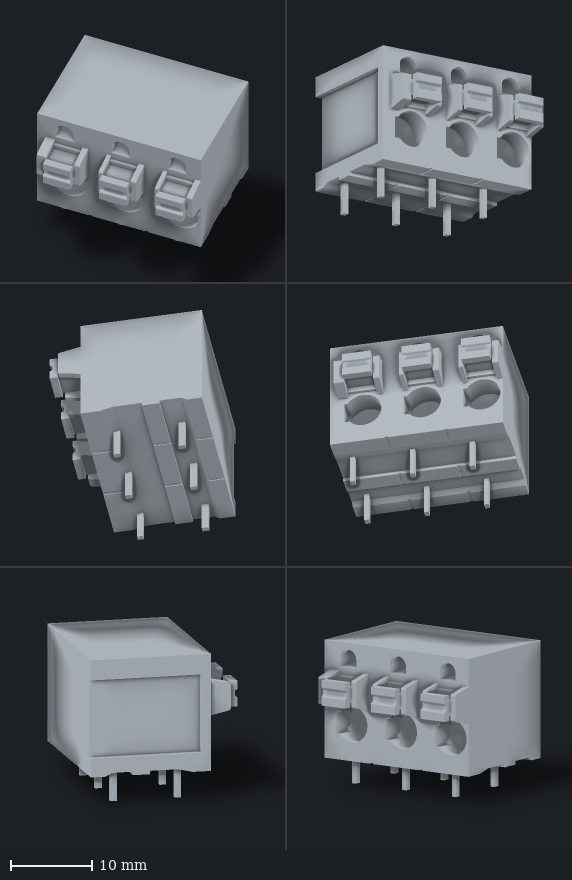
import cadquery as cq
import math


HOUSING_LENGTH = 21.8
HOUSING_DEPTH = 15.24
HOUSING_HEIGHT = 14.75

POLE_COUNT = 3
POLE_PITCH = 7.5
POLE_CENTER_X = 4.2
POLE_SHIFTS = [i * POLE_PITCH for i in range(POLE_COUNT)]

SIDE_RECESS_DEPTH = 1.0
SIDE_RECESS_FRONT_Y = 1.2
SIDE_RECESS_BOTTOM_Z = 2.35
SIDE_RECESS_TOP_Z = 12.23

FOOT_HEIGHT = 0.44
FRONT_FOOT_DEPTH = 2.35
FRONT_SLOPE_END_Y = 4.15
MIDDLE_FOOT_FRONT_Y = 7.72
MIDDLE_FOOT_BACK_Y = 9.92
REAR_SLOPE_START_Y = 12.65
REAR_FOOT_FRONT_Y = 13.35
GROOVE_WIDTH = 0.48
GROOVE_HEIGHT = 0.1
GROOVE_CENTER_X = 7.08

WINDOW_CENTER_X = 3.65
WINDOW_BOTTOM_Z = 11.7
WINDOW_HEIGHT = 2.2
WINDOW_RIM_WIDTH = 2.35
WINDOW_RIM_DEPTH = 0.33
WINDOW_RIM_STEP = 0.07
WINDOW_DEPTH = 3.05

BORE_RADIUS = 2.29
BORE_CENTER_Z = 4.67
BORE_DEPTH = 3.05
SLOT_LEFT_X = 1.79
SLOT_TOP_Z = 5.89
SLOT_TOP_RADIUS = 0.72
SLOT_BOTTOM_Z = 3.16
SLOT_SILL_RADIUS = 0.57
SLOT_SILL_CHAMFER = 0.25

GUARD_LENGTH = 2.8
GUARD_CENTER_Z = 8.98
GUARD_ROOT_HEIGHT = 4.55
GUARD_TIP_HEIGHT = 3.38
GUARD_TIP_RADIUS = 0.26
END_GUARD_LEFT_X = 1.1
GUARD_GAP_LEFT_X = 2.35
GUARD_GAP_RIGHT_X = 6.05
LEFT_GUARD_WIDTH = 0.55
RIGHT_GUARD_WIDTH = HOUSING_LENGTH - POLE_SHIFTS[-1] - GUARD_GAP_RIGHT_X

BUTTON_WIDTH = 3.6
BUTTON_CENTER_Z = 9.0
COLLAR_WIDTH = GUARD_GAP_RIGHT_X - GUARD_GAP_LEFT_X
COLLAR_HEIGHT = 3.34
COLLAR_LENGTH = 0.4
COLLAR_SEAT_DEPTH = 1.0
SHAFT_HEIGHT = 1.98
HEAD_BACK_Y = -3.03
HEAD_FRONT_Y = -4.01
HEAD_HEIGHT = 3.18
NOTCH_DEPTH = 0.37
NOTCH_FLOOR_HEIGHT = 0.37
NOTCH_MOUTH_HEIGHT = 1.35
NOTCH_CENTER_Z = 9.07

PIN_WIDTH = 0.6
PIN_LEFT_X = 1.8
PIN_PITCH = 7.55
PIN_LENGTH = 3.53
PIN_SEAT_Z = 1.3
FRONT_PIN_Y = 3.34
FRONT_PIN_THICKNESS = 0.78
REAR_PIN_Y = 11.47
REAR_PIN_THICKNESS = 0.85


def box(x_min, x_max, y_min, y_max, z_min, z_max):
    size = (x_max - x_min, y_max - y_min, z_max - z_min)
    return cq.Workplane("XY").box(*size, centered=False).translate((x_min, y_min, z_min))


def side_profile(x_min):
    """Sketch plane facing +X at x_min; its local axes are Y and Z."""
    return cq.Workplane("YZ", origin=(x_min, 0, 0))


def front_profile(y_front):
    """Sketch plane facing -Y at y_front; its local axes are X and Z."""
    return cq.Workplane("XZ", origin=(0, y_front, 0))


def housing_block():
    """Block whose underside has a front, a middle and a rear foot."""
    outline = [
        (0, 0),
        (FRONT_FOOT_DEPTH, 0),
        (FRONT_SLOPE_END_Y, FOOT_HEIGHT),
        (MIDDLE_FOOT_FRONT_Y, FOOT_HEIGHT),
        (MIDDLE_FOOT_FRONT_Y, 0),
        (MIDDLE_FOOT_BACK_Y, 0),
        (MIDDLE_FOOT_BACK_Y, FOOT_HEIGHT),
        (REAR_SLOPE_START_Y, FOOT_HEIGHT),
        (REAR_FOOT_FRONT_Y, 0),
        (HOUSING_DEPTH, 0),
        (HOUSING_DEPTH, HOUSING_HEIGHT),
        (0, HOUSING_HEIGHT),
    ]
    return side_profile(0).polyline(outline).close().extrude(HOUSING_LENGTH)


def side_recess():
    return box(
        0, SIDE_RECESS_DEPTH,
        SIDE_RECESS_FRONT_Y, HOUSING_DEPTH,
        SIDE_RECESS_BOTTOM_Z, SIDE_RECESS_TOP_Z,
    )


def underside_groove(shift):
    left = GROOVE_CENTER_X + shift - GROOVE_WIDTH / 2
    return box(left, left + GROOVE_WIDTH, 0, HOUSING_DEPTH, 0, GROOVE_HEIGHT)


def arch(center_x, width, height, depth):
    """Pocket from the front face with a flat sill and a half-round top."""
    radius = width / 2
    spring_z = WINDOW_BOTTOM_Z + height - radius
    return (
        front_profile(0)
        .moveTo(center_x - radius, WINDOW_BOTTOM_Z)
        .lineTo(center_x + radius, WINDOW_BOTTOM_Z)
        .lineTo(center_x + radius, spring_z)
        .threePointArc((center_x, spring_z + radius), (center_x - radius, spring_z))
        .close()
        .extrude(-depth)
    )


def window(shift):
    center_x = WINDOW_CENTER_X + shift
    rim = arch(center_x, WINDOW_RIM_WIDTH, WINDOW_HEIGHT, WINDOW_RIM_DEPTH)
    inner_width = WINDOW_RIM_WIDTH - 2 * WINDOW_RIM_STEP
    inner = arch(center_x, inner_width, WINDOW_HEIGHT - WINDOW_RIM_STEP, WINDOW_DEPTH)
    return rim.union(inner)


def wire_entry(shift):
    center_x = POLE_CENTER_X + shift
    bore = front_profile(0).center(center_x, BORE_CENTER_Z).circle(BORE_RADIUS).extrude(-BORE_DEPTH)

    diagonal = math.sqrt(0.5)
    sill_start_y = BORE_DEPTH - SLOT_SILL_CHAMFER - SLOT_SILL_RADIUS
    sill_top_z = SLOT_BOTTOM_Z + SLOT_SILL_RADIUS
    slot = (
        side_profile(SLOT_LEFT_X + shift)
        .moveTo(0, SLOT_BOTTOM_Z)
        .lineTo(sill_start_y, SLOT_BOTTOM_Z)
        .threePointArc(
            (
                sill_start_y + SLOT_SILL_RADIUS * (1 - diagonal),
                SLOT_BOTTOM_Z + SLOT_SILL_RADIUS * diagonal,
            ),
            (sill_start_y + SLOT_SILL_RADIUS, sill_top_z),
        )
        .lineTo(BORE_DEPTH, sill_top_z + SLOT_SILL_CHAMFER)
        .lineTo(BORE_DEPTH, SLOT_TOP_Z - SLOT_TOP_RADIUS)
        .threePointArc(
            (
                BORE_DEPTH - SLOT_TOP_RADIUS * (1 - diagonal),
                SLOT_TOP_Z - SLOT_TOP_RADIUS * (1 - diagonal),
            ),
            (BORE_DEPTH - SLOT_TOP_RADIUS, SLOT_TOP_Z),
        )
        .lineTo(0, SLOT_TOP_Z)
        .close()
        .extrude(POLE_CENTER_X - SLOT_LEFT_X)
    )
    return bore.union(slot)


def guard(x_min, x_max):
    """Upright plate that tapers forward from the front face and has rounded tip edges."""
    outline = [
        (0, GUARD_CENTER_Z - GUARD_ROOT_HEIGHT / 2),
        (0, GUARD_CENTER_Z + GUARD_ROOT_HEIGHT / 2),
        (-GUARD_LENGTH, GUARD_CENTER_Z + GUARD_TIP_HEIGHT / 2),
        (-GUARD_LENGTH, GUARD_CENTER_Z - GUARD_TIP_HEIGHT / 2),
    ]
    plate = side_profile(x_min).polyline(outline).close().extrude(x_max - x_min)
    return plate.faces("<Y").edges("|X").fillet(GUARD_TIP_RADIUS)


def guards():
    """The leftmost guard is wider than the other left ones."""
    plates = []
    for shift in POLE_SHIFTS:
        gap_left = GUARD_GAP_LEFT_X + shift
        gap_right = GUARD_GAP_RIGHT_X + shift
        outer_left = gap_left - LEFT_GUARD_WIDTH if shift else END_GUARD_LEFT_X
        plates.append(guard(outer_left, gap_left))
        plates.append(guard(gap_right, gap_right + RIGHT_GUARD_WIDTH))
    return plates


def centered_bar(width, height, y_min, y_max):
    """Bar along Y, centred on the axis of the first button."""
    return box(
        POLE_CENTER_X - width / 2, POLE_CENTER_X + width / 2,
        y_min, y_max,
        BUTTON_CENTER_Z - height / 2, BUTTON_CENTER_Z + height / 2,
    )


def head_notch():
    """Groove across the head; each flank is two equal arcs that leave face and floor smoothly."""
    floor_y = HEAD_FRONT_Y + NOTCH_DEPTH
    middle_y = HEAD_FRONT_Y + NOTCH_DEPTH / 2
    half_mouth = NOTCH_MOUTH_HEIGHT / 2
    half_floor = NOTCH_FLOOR_HEIGHT / 2
    half_middle = (half_mouth + half_floor) / 2
    upper_half = (
        side_profile(POLE_CENTER_X - BUTTON_WIDTH / 2)
        .moveTo(HEAD_FRONT_Y, 0)
        .lineTo(floor_y, 0)
        .lineTo(floor_y, half_floor)
        .tangentArcPoint((middle_y, half_middle), relative=False)
        .tangentArcPoint((HEAD_FRONT_Y, half_mouth), relative=False)
        .close()
        .extrude(BUTTON_WIDTH)
    )
    return upper_half.union(upper_half.mirror("XY")).translate((0, 0, NOTCH_CENTER_Z))


def button(shift):
    collar = centered_bar(COLLAR_WIDTH, COLLAR_HEIGHT, -COLLAR_LENGTH, COLLAR_SEAT_DEPTH)
    shaft = centered_bar(BUTTON_WIDTH, SHAFT_HEIGHT, HEAD_BACK_Y, -COLLAR_LENGTH)
    head = centered_bar(BUTTON_WIDTH, HEAD_HEIGHT, HEAD_FRONT_Y, HEAD_BACK_Y)
    return collar.union(shaft).union(head.cut(head_notch())).translate((shift, 0, 0))


def pin(index, y_front, thickness):
    left = PIN_LEFT_X + index * PIN_PITCH
    return box(left, left + PIN_WIDTH, y_front, y_front + thickness, -PIN_LENGTH, PIN_SEAT_Z)


def make_housing(seated_parts):
    """Housing with all its openings; each seated part leaves a matching recess."""
    body = housing_block().cut(side_recess())
    for shift in POLE_SHIFTS:
        body = body.cut(window(shift)).cut(wire_entry(shift))
    for shift in POLE_SHIFTS[:-1]:
        body = body.cut(underside_groove(shift))
    for plate in guards():
        body = body.union(plate)
    for part in seated_parts:
        body = body.cut(part)
    return body


buttons = [button(shift) for shift in POLE_SHIFTS]
front_pins = [pin(i, FRONT_PIN_Y, FRONT_PIN_THICKNESS) for i in range(POLE_COUNT)]
rear_pins = [pin(i, REAR_PIN_Y, REAR_PIN_THICKNESS) for i in range(POLE_COUNT)]
inserts = buttons + front_pins + rear_pins
housing = make_housing(inserts)

result = cq.Compound.makeCompound([housing.val(), *[part.val() for part in inserts]])